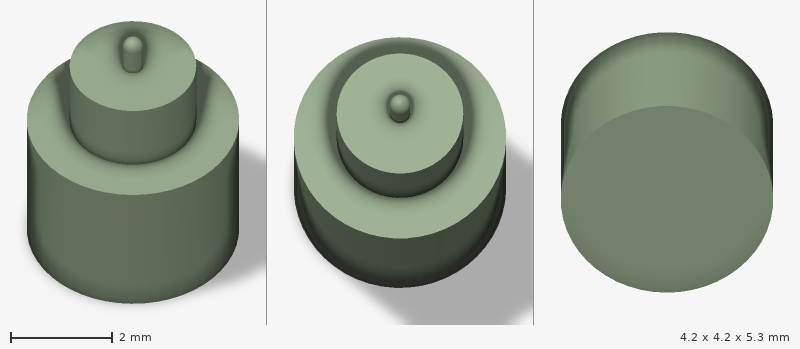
import cadquery as cq

total_height = 5.3
body_diameter = 4.2
body_height = 3.05
collar_diameter = 2.5
collar_height = 1.5

pin_diameter = 0.4
pin_radius = pin_diameter / 2
collar_top = body_height + collar_height
pin_shank_height = total_height - collar_top - pin_radius


def cylinder(diameter, height, base_z):
    """Vertical cylinder on the Z axis, standing at base_z."""
    return cq.Workplane("XY").workplane(offset=base_z).circle(diameter / 2).extrude(height)


body = cylinder(body_diameter, body_height, 0)
collar = cylinder(collar_diameter, collar_height, body_height)


def round_tipped_pin():
    """Half profile of the pin revolved around the Z axis."""
    tip_start = collar_top + pin_shank_height
    return (
        cq.Workplane("XZ")
        .moveTo(0, collar_top)
        .lineTo(pin_radius, collar_top)
        .lineTo(pin_radius, tip_start)
        .radiusArc((0, total_height), -pin_radius)
        .close()
        .revolve(360, (0, 0, 0), (0, 1, 0))
    )


result = body.union(collar).union(round_tipped_pin())